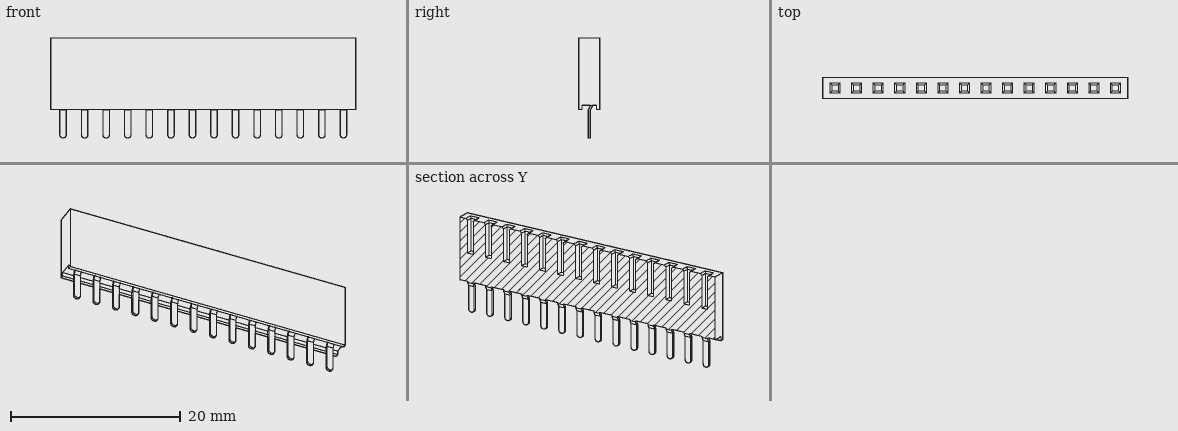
import cadquery as cq

length = 35.97
width = 2.5
total_height = 11.8
housing_height = 8.45
pin_reach = total_height - housing_height

contact_count = 14
row_span = 33.02
pitch = row_span / (contact_count - 1)
contact_positions = [(i * pitch - row_span / 2, 0) for i in range(contact_count)]

channel_width = 1.65
channel_depth = 0.5

socket_mouth = 1.2
socket_bore = 0.75
lead_in_depth = (socket_mouth - socket_bore) / 2
socket_depth = 4.3

pin_width = 0.8
pin_thickness = 0.3
pin_offset = 0.3
bend_height = 0.55
pin_embed = 0.35


def make_housing():
    """Plain block with an open channel along its underside; the feet stand on Z = 0."""
    block = cq.Workplane("XY").box(length, width, housing_height, centered=(True, True, False))
    channel = cq.Workplane("XY").box(length, channel_width, channel_depth, centered=(True, True, False))
    return block.cut(channel)


def make_sockets():
    """Square blind bores with a tapered lead-in at the top face."""
    bores = (
        cq.Workplane("XY", origin=(0, 0, housing_height))
        .pushPoints(contact_positions)
        .rect(socket_bore, socket_bore)
        .extrude(-socket_depth)
    )
    lead_in = (
        cq.Workplane("XY", origin=(0, 0, housing_height))
        .rect(socket_mouth, socket_mouth)
        .workplane(offset=-lead_in_depth)
        .rect(socket_bore, socket_bore)
        .loft(ruled=True)
    )
    for x, y in contact_positions:
        bores = bores.union(lead_in.translate((x, y, 0)))
    return bores


def make_pin():
    """Flat pin bent sideways just below the channel roof, with a fully rounded tip."""
    half = pin_thickness / 2
    tip_radius = pin_width / 2
    tip_center = tip_radius - pin_reach
    root_top = channel_depth + pin_embed
    bend_bottom = channel_depth - bend_height
    strip = (
        cq.Workplane("YZ")
        .moveTo(-half, tip_center)
        .lineTo(half, tip_center)
        .lineTo(half, bend_bottom)
        .lineTo(half + pin_offset, channel_depth)
        .lineTo(half + pin_offset, root_top)
        .lineTo(pin_offset - half, root_top)
        .lineTo(pin_offset - half, channel_depth)
        .lineTo(-half, bend_bottom)
        .close()
        .extrude(tip_radius, both=True)
    )
    tip = (
        cq.Workplane("XZ", origin=(0, 0, tip_center))
        .circle(tip_radius)
        .extrude(half, both=True)
    )
    return strip.union(tip)


result = make_housing().cut(make_sockets())
pin = make_pin()
for x, y in contact_positions:
    result = result.union(pin.translate((x, y, 0)))